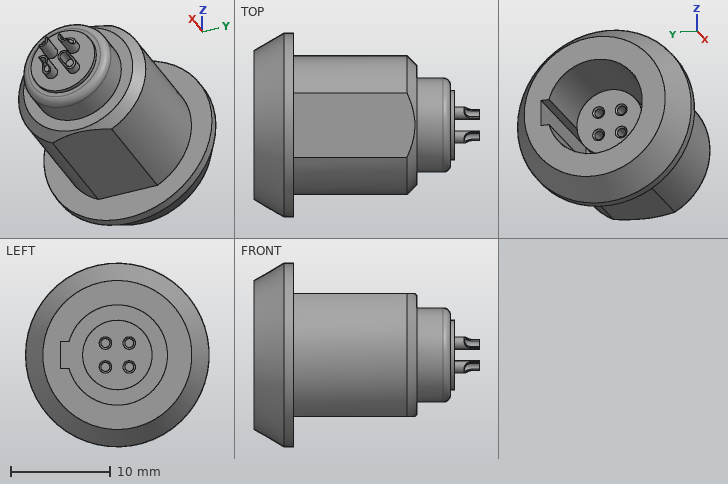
import cadquery as cq
import math

flange_rim_start = 3.0
flange_back = 4.0
body_end = 16.4
barrel_end = 19.8
insulator_end = 20.2
contact_end = 22.7
insulator_front = 4.7
socket_floor = 14.0

face_radius = 7.5
flange_radius = 9.25
body_radius = 7.0
body_chamfer = 1.0
across_flats = 12.4
barrel_radius = 4.75
barrel_fillet = 0.8

socket_radius = 5.05
keyway_reach = 5.7
keyway_width = 2.7
insulator_radius = 3.5

contact_offset = 1.2
contact_radius = 0.625
entry_radius = 0.45
entry_depth = 2.0
cup_bore_radius = 0.42
cup_floor = 21.2
cup_cut_offset = 0.1
cup_cut_radius = 0.9
cup_cut_center = 22.0


def rod(start, end, radius):
    """Cylinder along the X axis between two stations."""
    return cq.Workplane("YZ", origin=(start, 0, 0)).circle(radius).extrude(end - start)


def flange():
    profile = [
        (0, 0),
        (0, face_radius),
        (flange_rim_start, flange_radius),
        (flange_back, flange_radius),
        (flange_back, 0),
    ]
    return cq.Workplane("XY").polyline(profile).close().revolve(360, (0, 0, 0), (1, 0, 0))


def flatted_body():
    body = rod(flange_back, body_end, body_radius).faces(">X").chamfer(body_chamfer)
    length = body_end - flange_back
    between_flats = cq.Workplane("XY").box(length, 2 * body_radius, across_flats)
    return body.intersect(between_flats.translate((flange_back + length / 2, 0, 0)))


def rear_barrel():
    return rod(body_end, barrel_end, barrel_radius).faces(">X").edges().fillet(barrel_fillet)


def socket():
    keyway = cq.Workplane("XY").box(socket_floor, keyway_reach, keyway_width)
    keyway = keyway.translate((socket_floor / 2, keyway_reach / 2, 0))
    return rod(0, socket_floor, socket_radius).union(keyway)


def contact_entry(y, z):
    """Countersunk blind hole in the front of the insulator."""
    countersink_depth = contact_radius - entry_radius
    profile = [
        (0, 0),
        (0, contact_radius),
        (countersink_depth, entry_radius),
        (entry_depth, entry_radius),
        (entry_depth, 0),
    ]
    hole = cq.Workplane("XY").polyline(profile).close().revolve(360, (0, 0, 0), (1, 0, 0))
    return hole.translate((insulator_front, y, z))


def solder_cup(y, z):
    """Rear contact tail with a hollow end cut open on the side facing away from the axis."""
    tail = rod(barrel_end, contact_end, contact_radius)
    tail = tail.cut(rod(cup_floor, contact_end, cup_bore_radius))
    arc_center_z = cup_cut_radius - cup_cut_offset
    opening = (
        cq.Workplane("XZ")
        .moveTo(cup_cut_center, -cup_cut_offset)
        .radiusArc((cup_cut_center - cup_cut_radius, arc_center_z), cup_cut_radius)
        .lineTo(contact_end, arc_center_z)
        .lineTo(contact_end, -cup_cut_offset)
        .close()
        .extrude(contact_radius, both=True)
    )
    outward_angle = math.degrees(math.atan2(z, y))
    tail = tail.cut(opening).rotate((0, 0, 0), (1, 0, 0), outward_angle - 90)
    return tail.translate((0, y, z))


result = flange().union(flatted_body()).union(rear_barrel())
result = result.cut(socket())
result = result.union(rod(insulator_front, insulator_end, insulator_radius))

for side_y in (-1, 1):
    for side_z in (-1, 1):
        contact_y = side_y * contact_offset
        contact_z = side_z * contact_offset
        result = result.cut(contact_entry(contact_y, contact_z))
        result = result.union(solder_cup(contact_y, contact_z))